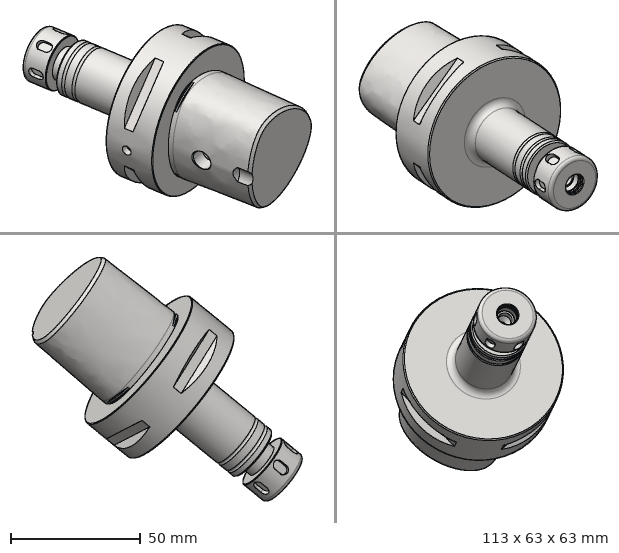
import cadquery as cq
import math


FRONT_X = -75.0
SHANK_LENGTH = 38.0
FLANGE_WIDTH = 22.0
FLANGE_DIA = 63.0
FLANGE_FRONT_CHAMFER = 0.5
FLANGE_BACK_CHAMFER = 0.3
FLANGE_FRONT_X = -FLANGE_WIDTH
CUT_OVERRUN = 1.0

STEM_DIA = 23.0
STEM_FRONT_X = FRONT_X + 16.0
STEM_CHAMFER = 0.6
STEM_ROOT_RADIUS = 3.0
NECK_DIA = 14.0
STEM_GROOVE_CENTERS = (FRONT_X + 19.5, FRONT_X + 24.3)
STEM_GROOVE_WIDTH = 1.4
STEM_GROOVE_DEPTH = 0.35

SEAT_X = FRONT_X + 7.5
NOSE_X = FRONT_X + 5.5
NOSE_DIA = 8.1
NOSE_TIP_DIA = 7.0
NOSE_TAPER_LENGTH = 1.0
NOSE_BORE_DIA = 5.5
NOSE_BORE_END_DIA = 1.7
NOSE_BORE_DEPTH = 3.0
NOSE_BORE_CONE_LENGTH = 2.0

NUT_DIA = 23.0
NUT_LENGTH = 11.4
NUT_BORE_DIA = NOSE_DIA
NUT_MOUTH_DIA = 8.79
NUT_GROOVE_DIA = 9.7
NUT_GROOVE_SPANS = ((1.3, 2.0), (2.9, 3.3))
NUT_FRONT_RADIUS = 1.5
NUT_BACK_CHAMFER = 0.3
NUT_SLOT_COUNT = 6
NUT_SLOT_LENGTH = 6.8
NUT_SLOT_WIDTH = 4.0
NUT_SLOT_CENTER_X = FRONT_X + 6.75
NUT_SLOT_FLOOR_RADIUS = 9.5

SHANK_MEAN_DIA = 44.0
LOBE_HEIGHT = 1.4
TAPER_PER_SIDE = 1 / 40
END_CHAMFER_LENGTH = 1.4
END_CHAMFER_DEPTH = 0.9
RELIEF_LENGTH = 2.2
RELIEF_START = 0.4
RELIEF_END = 1.1
RELIEF_RADIUS = 22.5

NOTCH_X = -12.0
NOTCH_ANGLES = (45, 135, 225, 315)
NOTCH_FLOOR_RADIUS = 27.8
NOTCH_FLOOR_WIDTH = 4.0
NOTCH_WALL_ANGLE = 27.0

MARK_HOLE_X = NOTCH_X
MARK_HOLE_DIA = 4.0
MARK_HOLE_DEPTH = 3.0
SHANK_HOLE_X = 15.4
SHANK_HOLE_DIA = 8.1
SHANK_HOLE_MOUTH_DIA = 8.79
SHANK_HOLE_DEPTH = 8.0
KEYWAY_DIA = 9.7
KEYWAY_LENGTH = 6.2
KEYWAY_AXIS_Y = -23.05
KEYWAY_POINT_ANGLE = 80.0
DRILL_POINT_ANGLE = 118.0


def drill(start, direction, dia, depth, point_angle=DRILL_POINT_ANGLE):
    """Cylindrical hole with a drill point beyond its full-diameter depth."""
    radius = dia / 2
    tip = radius / math.tan(math.radians(point_angle / 2))
    profile = cq.Workplane("XZ").polyline([(0, 0), (radius, 0), (radius, depth), (0, depth + tip)]).close()
    cutter = profile.revolve(360, (0, 0), (0, 1)).val()
    plane = cq.Plane(origin=start, normal=direction)
    return cq.Workplane(obj=cutter.moved(cq.Location(plane)))


def lobe_outline(mean_dia):
    """Formula of a constant-width three-lobed outline, one lobe toward +Y, starting at -Y."""
    def point(turn):
        angle = math.pi + 2 * math.pi * turn
        support = mean_dia / 2 + LOBE_HEIGHT * math.cos(3 * angle)
        slope = -3 * LOBE_HEIGHT * math.sin(3 * angle)
        y = support * math.cos(angle) - slope * math.sin(angle)
        z = support * math.sin(angle) + slope * math.cos(angle)
        return (y, z)

    return point


def make_shank():
    taper_length = SHANK_LENGTH - RELIEF_LENGTH - END_CHAMFER_LENGTH
    taper_end_dia = SHANK_MEAN_DIA - 2 * TAPER_PER_SIDE * taper_length
    tip_dia = taper_end_dia - 2 * END_CHAMFER_DEPTH
    shank = (
        cq.Workplane("YZ")
        .parametricCurve(lobe_outline(SHANK_MEAN_DIA))
        .workplane(offset=RELIEF_LENGTH)
        .parametricCurve(lobe_outline(SHANK_MEAN_DIA))
        .workplane(offset=taper_length)
        .parametricCurve(lobe_outline(taper_end_dia))
        .workplane(offset=END_CHAMFER_LENGTH)
        .parametricCurve(lobe_outline(tip_dia))
        .loft(ruled=True)
    )

    outside = SHANK_MEAN_DIA / 2 + LOBE_HEIGHT + CUT_OVERRUN
    rise = outside - RELIEF_RADIUS
    relief = (
        cq.Workplane("XY")
        .polyline([(RELIEF_START, RELIEF_RADIUS), (RELIEF_END, RELIEF_RADIUS),
                   (RELIEF_END + rise, outside), (RELIEF_START, outside)])
        .close()
        .revolve(360, (0, 0), (1, 0))
    )
    return shank.cut(relief)


def make_turned_body():
    """Flange, stem, neck and nose turned about X, with the nose bore."""
    bore_cone_x = NOSE_X + NOSE_BORE_DEPTH
    bore_cone_end_x = bore_cone_x + NOSE_BORE_CONE_LENGTH
    nose_taper_x = NOSE_X + NOSE_TAPER_LENGTH
    root_mid = STEM_ROOT_RADIUS * (1 - math.sqrt(0.5))
    stem_r = STEM_DIA / 2
    flange_r = FLANGE_DIA / 2
    body = (
        cq.Workplane("XY")
        .moveTo(bore_cone_end_x, 0)
        .lineTo(bore_cone_end_x, NOSE_BORE_END_DIA / 2)
        .lineTo(bore_cone_x, NOSE_BORE_DIA / 2)
        .lineTo(NOSE_X, NOSE_BORE_DIA / 2)
        .lineTo(NOSE_X, NOSE_TIP_DIA / 2)
        .lineTo(nose_taper_x, NOSE_DIA / 2)
        .lineTo(SEAT_X, NOSE_DIA / 2)
        .lineTo(SEAT_X, NECK_DIA / 2)
        .lineTo(STEM_FRONT_X, NECK_DIA / 2)
        .lineTo(STEM_FRONT_X, stem_r - STEM_CHAMFER)
        .lineTo(STEM_FRONT_X + STEM_CHAMFER, stem_r)
        .lineTo(FLANGE_FRONT_X - STEM_ROOT_RADIUS, stem_r)
        .threePointArc((FLANGE_FRONT_X - root_mid, stem_r + root_mid),
                       (FLANGE_FRONT_X, stem_r + STEM_ROOT_RADIUS))
        .lineTo(FLANGE_FRONT_X, flange_r - FLANGE_FRONT_CHAMFER)
        .lineTo(FLANGE_FRONT_X + FLANGE_FRONT_CHAMFER, flange_r)
        .lineTo(-FLANGE_BACK_CHAMFER, flange_r)
        .lineTo(0, flange_r - FLANGE_BACK_CHAMFER)
        .lineTo(0, 0)
        .close()
        .revolve(360, (0, 0), (1, 0))
    )
    for center in STEM_GROOVE_CENTERS:
        body = body.cut(stem_groove(center))
    return body


def stem_groove(center):
    """Shallow round-bottomed ring groove."""
    half = STEM_GROOVE_WIDTH / 2
    radius = STEM_DIA / 2
    return (
        cq.Workplane("XY")
        .moveTo(center - half, radius)
        .threePointArc((center, radius - STEM_GROOVE_DEPTH), (center + half, radius))
        .lineTo(center + half, radius + CUT_OVERRUN)
        .lineTo(center - half, radius + CUT_OVERRUN)
        .close()
        .revolve(360, (0, 0), (1, 0))
    )


def gripper_notch(angle):
    """Straight trapezoidal channel across the rim, widening outward."""
    height = FLANGE_DIA / 2 - NOTCH_FLOOR_RADIUS
    half_floor = NOTCH_FLOOR_WIDTH / 2
    half_mouth = half_floor + height * math.tan(math.radians(NOTCH_WALL_ANGLE))
    notch = (
        cq.Workplane("XZ")
        .polyline([(NOTCH_X - half_floor, NOTCH_FLOOR_RADIUS),
                   (NOTCH_X + half_floor, NOTCH_FLOOR_RADIUS),
                   (NOTCH_X + half_mouth, FLANGE_DIA / 2),
                   (NOTCH_X - half_mouth, FLANGE_DIA / 2)])
        .close()
        .extrude(FLANGE_DIA / 2, both=True)
    )
    return notch.rotate((0, 0, 0), (1, 0, 0), angle)


def shank_hole_mouth():
    """45 degree countersink whose rim lies on the shank surface."""
    mouth_y = -(SHANK_MEAN_DIA / 2 - LOBE_HEIGHT - TAPER_PER_SIDE * (SHANK_HOLE_X - RELIEF_LENGTH))
    rim_radius = SHANK_HOLE_MOUTH_DIA / 2 + CUT_OVERRUN
    cone = cq.Solid.makeCone(rim_radius, 0, rim_radius,
                             pnt=cq.Vector(SHANK_HOLE_X, mouth_y - CUT_OVERRUN, 0), dir=cq.Vector(0, 1, 0))
    return cq.Workplane(obj=cone)


def make_holder():
    holder = make_turned_body().union(make_shank())
    for angle in NOTCH_ANGLES:
        holder = holder.cut(gripper_notch(angle))

    mark_hole = drill((MARK_HOLE_X, -FLANGE_DIA / 2, 0), (0, 1, 0), MARK_HOLE_DIA, MARK_HOLE_DEPTH)
    shank_hole = drill((SHANK_HOLE_X, -SHANK_MEAN_DIA / 2, 0), (0, 1, 0), SHANK_HOLE_DIA, SHANK_HOLE_DEPTH)
    keyway_start = (SHANK_LENGTH, KEYWAY_AXIS_Y, 0)
    keyway = drill(keyway_start, (-1, 0, 0), KEYWAY_DIA, KEYWAY_LENGTH, KEYWAY_POINT_ANGLE)
    return holder.cut(mark_hole).cut(shank_hole).cut(shank_hole_mouth()).cut(keyway)


def nut_slot(angle):
    """Spanner slot with round ends, sunk from the rim to a flat floor."""
    slot = (
        cq.Workplane("XY", origin=(NUT_SLOT_CENTER_X, 0, NUT_SLOT_FLOOR_RADIUS))
        .slot2D(NUT_SLOT_LENGTH, NUT_SLOT_WIDTH)
        .extrude(NUT_DIA / 2 - NUT_SLOT_FLOOR_RADIUS)
    )
    return slot.rotate((0, 0, 0), (1, 0, 0), angle)


def nut_bore(dia, start, end):
    """Round cut on the nut axis between two depths from its front face."""
    return cq.Workplane("YZ", origin=(FRONT_X + start, 0, 0)).circle(dia / 2).extrude(end - start)


def make_nut():
    nut = cq.Workplane("YZ", origin=(FRONT_X, 0, 0)).circle(NUT_DIA / 2).extrude(NUT_LENGTH)
    nut = nut.faces("<X").edges().fillet(NUT_FRONT_RADIUS)
    nut = nut.faces(">X").edges().chamfer(NUT_BACK_CHAMFER)
    nut = nut.cut(nut_bore(NUT_BORE_DIA, 0, NUT_LENGTH))
    nut = nut.faces("<X").edges("%CIRCLE").edges(cq.selectors.RadiusNthSelector(0))
    nut = nut.chamfer((NUT_MOUTH_DIA - NUT_BORE_DIA) / 2)
    for start, end in NUT_GROOVE_SPANS:
        nut = nut.cut(nut_bore(NUT_GROOVE_DIA, start, end))
    neck_bore = (
        cq.Workplane("YZ", origin=(SEAT_X, 0, 0))
        .circle(NECK_DIA / 2)
        .extrude(FRONT_X + NUT_LENGTH - SEAT_X)
    )
    nut = nut.cut(neck_bore)
    for index in range(NUT_SLOT_COUNT):
        nut = nut.cut(nut_slot(90 + index * 360 / NUT_SLOT_COUNT))
    return nut


holder = make_holder()
nut = make_nut()

result = cq.Compound.makeCompound([holder.val(), nut.val()])